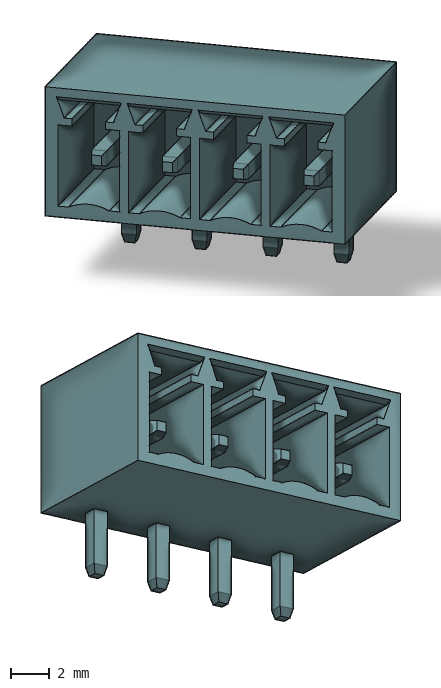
import cadquery as cq

HOUSING_WIDTH = 16.12
HOUSING_DEPTH = 9.15
HOUSING_HEIGHT = 7.0

CONTACT_COUNT = 4
PITCH = 3.8

CAVITY_DEPTH = 6.45
CAVITY_HALF_WIDTH = 1.66
FLOOR_Z = 0.6
FLOOR_BUMP_HALF_WIDTH = 1.1
FLOOR_BUMP_HEIGHT = 0.25
RAIL_BOTTOM_Z = 5.0
RAIL_TOP_Z = 5.4
RAIL_GAP_HALF_WIDTH = 0.9
FLARE_BOTTOM_HALF_WIDTH = 1.32
FLARE_TOP_HALF_WIDTH = 1.74
CEILING_FRONT_Z = 6.51
CEILING_RISE = 0.23
CEILING_Z = CEILING_FRONT_Z - CEILING_RISE
LEAD_IN_DEPTH = 0.24

PIN_SIZE = 0.8
PIN_TAPER_LENGTH = 0.5
PIN_TAPER_INSET = 0.13
PIN_DROP = 3.5
PIN_AXIS_Z = 2.79
PIN_LEG_FROM_BACK = 1.63
PIN_TIP_FROM_FRONT = 1.39

FRONT_Y = -HOUSING_DEPTH / 2
BACK_Y = HOUSING_DEPTH / 2
LEG_Y = BACK_Y - PIN_LEG_FROM_BACK


def make_cavity():
    """Keyed opening cut from the front face, with a sloped lead-in at the ceiling."""
    profile = (
        cq.Workplane("XZ", origin=(0, FRONT_Y, 0))
        .moveTo(-CAVITY_HALF_WIDTH, FLOOR_Z)
        .lineTo(-FLOOR_BUMP_HALF_WIDTH, FLOOR_Z)
        .threePointArc((0, FLOOR_Z + FLOOR_BUMP_HEIGHT), (FLOOR_BUMP_HALF_WIDTH, FLOOR_Z))
        .lineTo(CAVITY_HALF_WIDTH, FLOOR_Z)
        .lineTo(CAVITY_HALF_WIDTH, RAIL_BOTTOM_Z)
        .lineTo(RAIL_GAP_HALF_WIDTH, RAIL_BOTTOM_Z)
        .lineTo(RAIL_GAP_HALF_WIDTH, RAIL_TOP_Z)
        .lineTo(FLARE_BOTTOM_HALF_WIDTH, RAIL_TOP_Z)
        .lineTo(FLARE_TOP_HALF_WIDTH, CEILING_FRONT_Z)
        .lineTo(-FLARE_TOP_HALF_WIDTH, CEILING_FRONT_Z)
        .lineTo(-FLARE_BOTTOM_HALF_WIDTH, RAIL_TOP_Z)
        .lineTo(-RAIL_GAP_HALF_WIDTH, RAIL_TOP_Z)
        .lineTo(-RAIL_GAP_HALF_WIDTH, RAIL_BOTTOM_Z)
        .lineTo(-CAVITY_HALF_WIDTH, RAIL_BOTTOM_Z)
        .close()
    )
    lead_in = (
        cq.Workplane("YZ")
        .moveTo(FRONT_Y, CEILING_FRONT_Z)
        .lineTo(FRONT_Y + LEAD_IN_DEPTH, CEILING_Z)
        .lineTo(FRONT_Y, CEILING_Z)
        .close()
        .extrude(FLARE_TOP_HALF_WIDTH, both=True)
    )
    above_ceiling = (
        cq.Workplane("XY", origin=(0, 0, CEILING_Z))
        .rect(2 * FLARE_TOP_HALF_WIDTH, HOUSING_DEPTH)
        .extrude(CEILING_RISE)
        .cut(lead_in)
    )
    return profile.extrude(-CAVITY_DEPTH).cut(above_ceiling)


def make_bar(start_plane, length):
    """Square bar from start_plane along its normal, tapered at the far end."""
    straight_length = length - PIN_TAPER_LENGTH
    tip_size = PIN_SIZE - 2 * PIN_TAPER_INSET
    straight = cq.Workplane(start_plane).rect(PIN_SIZE, PIN_SIZE).extrude(straight_length)
    taper = (
        cq.Workplane(start_plane)
        .workplane(offset=straight_length)
        .rect(PIN_SIZE, PIN_SIZE)
        .workplane(offset=PIN_TAPER_LENGTH)
        .rect(tip_size, tip_size)
        .loft(ruled=True)
    )
    return straight.union(taper)


def make_pin():
    """Contact lying along Y in the cavity and bent down to a leg below the housing."""
    bend_top = PIN_AXIS_Z + PIN_SIZE / 2
    leg_plane = cq.Plane(origin=(0, LEG_Y, bend_top), xDir=(1, 0, 0), normal=(0, 0, -1))
    leg = make_bar(leg_plane, bend_top + PIN_DROP)
    contact_plane = cq.Plane(origin=(0, LEG_Y, PIN_AXIS_Z), xDir=(1, 0, 0), normal=(0, -1, 0))
    contact = make_bar(contact_plane, LEG_Y - FRONT_Y - PIN_TIP_FROM_FRONT)
    return leg.union(contact)


result = cq.Workplane("XY").box(
    HOUSING_WIDTH, HOUSING_DEPTH, HOUSING_HEIGHT, centered=(True, True, False)
)
cavity = make_cavity()
pin = make_pin()
for index in range(CONTACT_COUNT):
    contact_x = (index - (CONTACT_COUNT - 1) / 2) * PITCH
    result = result.cut(cavity.translate((contact_x, 0, 0)))
    result = result.union(pin.translate((contact_x, 0, 0)))